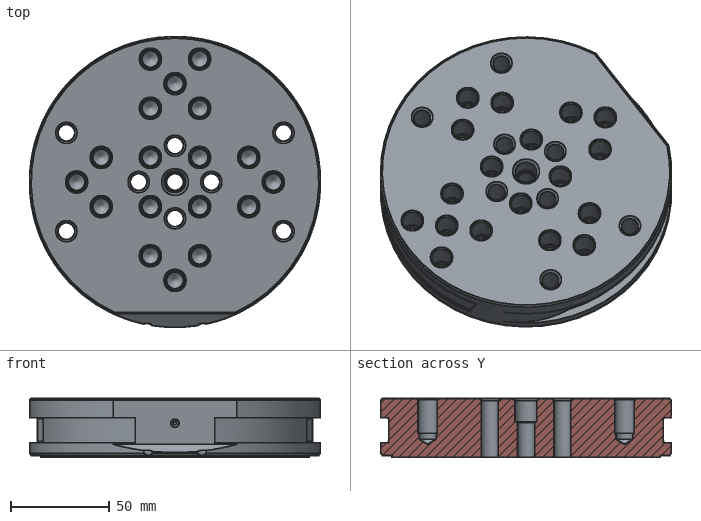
import cadquery as cq
import math

DISC_RADIUS = 74.0
HEIGHT = 30.0
TOP_CHAMFER = 0.9
CUT_MARGIN = 1.5
BASE_RADIUS = 68.4
BASE_HEIGHT = 0.9
RIM_CHAMFER_TOP = 2.2
RIM_CHAMFER_WIDTH = 0.9

FLAT_Y = -67.0
LEDGE_TOP = 6.7
LEDGE_RIM_Z = 2.5
RIM_NOTCH_DIAMETER = 8.6
RIM_NOTCH_X = 14.4
RIM_NOTCH_Y = -76.2

GROOVE_RADIUS = 70.0
GROOVE_BOTTOM = 7.5
GROOVE_TOP = 20.1
RAMP_START_ANGLE = 18.3
RAMP_END_ANGLE = 45.0
RAMP_RADIUS = 50.3

POCKET_X = 66.9
POCKET_BOTTOM = 8.3
POCKET_TOP = 19.7
CREST_X = GROOVE_RADIUS
CREST_HALF_WIDTH = 10.0
CREST_TIP_HALF_WIDTH = 2.4

PANEL_RADIUS = 73.1
PANEL_BOTTOM = 8.9
PANEL_TOP = 22.3
PANEL_BOTTOM_HALF_WIDTH = 37.6
PANEL_TOP_HALF_WIDTH = 40.8

OUTER_HOLE_SPAN = 100.0
PITCH = OUTER_HOLE_SPAN / 8
BLIND_DIAMETER = 9.8
BLIND_MOUTH_DIAMETER = 11.2
BLIND_DEPTH = 17.8
BLIND_CORE_DIAMETER = 8.5
BLIND_CORE_DEPTH = 20.7
DRILL_TIP_ANGLE = 118.0
THROUGH_DIAMETER = 8.5
THROUGH_MOUTH_DIAMETER = 10.8
INNER_THROUGH_OFFSET = 18.5
OUTER_THROUGH_X = 55.2

CENTRE_MOUTH_DIAMETER = 13.6
CENTRE_BORE_DIAMETER = 11.0
CENTRE_BORE_DEPTH = 11.8
CENTRE_STEP_DIAMETER = 9.8

SET_HOLE_Z = 17.5
SET_HOLE_DIAMETER = 4.1
SET_HOLE_TIP_DIAMETER = 1.8
SET_HOLE_DEPTH = 2.0


def revolve_profile(points):
    """Solid of revolution about Z from (radius, z) points."""
    return cq.Workplane("XZ").polyline(points).close().revolve(360, (0, 0), (0, 1))


def disc():
    return revolve_profile([
        (0, 0),
        (BASE_RADIUS, 0),
        (BASE_RADIUS, BASE_HEIGHT),
        (DISC_RADIUS - RIM_CHAMFER_WIDTH, BASE_HEIGHT),
        (DISC_RADIUS, RIM_CHAMFER_TOP),
        (DISC_RADIUS, HEIGHT - TOP_CHAMFER),
        (DISC_RADIUS - TOP_CHAMFER, HEIGHT),
        (0, HEIGHT),
    ])


def front_cut():
    """Everything in front of the flat and above the sloped ledge, with the top edge chamfer."""
    slope = (LEDGE_TOP - LEDGE_RIM_Z) / (FLAT_Y + DISC_RADIUS)
    outer_y = -DISC_RADIUS - CUT_MARGIN
    profile = [
        (outer_y, LEDGE_RIM_Z - slope * CUT_MARGIN),
        (FLAT_Y, LEDGE_TOP),
        (FLAT_Y, HEIGHT - TOP_CHAMFER),
        (FLAT_Y + TOP_CHAMFER, HEIGHT),
        (outer_y, HEIGHT),
    ]
    return cq.Workplane("YZ").polyline(profile).close().extrude(DISC_RADIUS, both=True)


def rim_notches():
    return (
        cq.Workplane("XY")
        .pushPoints([(-RIM_NOTCH_X, RIM_NOTCH_Y), (RIM_NOTCH_X, RIM_NOTCH_Y)])
        .circle(RIM_NOTCH_DIAMETER / 2)
        .extrude(LEDGE_TOP)
    )


def ring(inner_radius, bottom, top):
    return (
        cq.Workplane("XY", origin=(0, 0, bottom))
        .circle(DISC_RADIUS + CUT_MARGIN)
        .circle(inner_radius)
        .extrude(top - bottom)
    )


def polar(radius, degrees):
    angle = math.radians(degrees)
    return radius * math.cos(angle), radius * math.sin(angle)


def side_groove():
    """Groove on the +X side, with an arc from its floor out to the rim."""
    ramp_start = polar(GROOVE_RADIUS, RAMP_START_ANGLE)
    ramp_end = polar(DISC_RADIUS, RAMP_END_ANGLE)
    outer_x = DISC_RADIUS + CUT_MARGIN
    return (
        cq.Workplane("XY", origin=(0, 0, GROOVE_BOTTOM))
        .moveTo(0, -GROOVE_RADIUS)
        .threePointArc((GROOVE_RADIUS, 0), ramp_start)
        .radiusArc(ramp_end, -RAMP_RADIUS)
        .lineTo(outer_x, ramp_end[1])
        .lineTo(outer_x, -outer_x)
        .lineTo(0, -outer_x)
        .close()
        .extrude(GROOVE_TOP - GROOVE_BOTTOM)
    )


def detent_pocket():
    """Pocket on the +X side: a flat floor with a crest made of three tangent arcs."""
    rise = CREST_X - POCKET_X
    lean = 2 * math.atan(rise / CREST_HALF_WIDTH)
    tip_radius = CREST_TIP_HALF_WIDTH / math.sin(lean)
    foot_radius = CREST_HALF_WIDTH / math.sin(lean) - tip_radius

    def foot_point(angle):
        y = CREST_HALF_WIDTH - foot_radius * math.sin(angle)
        return POCKET_X + foot_radius * (1 - math.cos(angle)), y

    foot_mid = foot_point(lean / 2)
    foot_end = foot_point(lean)
    outer_x = DISC_RADIUS + CUT_MARGIN
    half_span = math.sqrt(DISC_RADIUS**2 - POCKET_X**2)
    return (
        cq.Workplane("XY", origin=(0, 0, POCKET_BOTTOM))
        .moveTo(outer_x, half_span)
        .lineTo(POCKET_X, half_span)
        .lineTo(POCKET_X, CREST_HALF_WIDTH)
        .threePointArc(foot_mid, foot_end)
        .threePointArc((CREST_X, 0), (foot_end[0], -foot_end[1]))
        .threePointArc((foot_mid[0], -foot_mid[1]), (POCKET_X, -CREST_HALF_WIDTH))
        .lineTo(POCKET_X, -half_span)
        .lineTo(outer_x, -half_span)
        .close()
        .extrude(POCKET_TOP - POCKET_BOTTOM)
    )


def rear_panel():
    outline = [
        (-PANEL_BOTTOM_HALF_WIDTH, PANEL_BOTTOM),
        (PANEL_BOTTOM_HALF_WIDTH, PANEL_BOTTOM),
        (PANEL_TOP_HALF_WIDTH, PANEL_TOP),
        (-PANEL_TOP_HALF_WIDTH, PANEL_TOP),
    ]
    window = cq.Workplane("XZ").polyline(outline).close().extrude(-2 * DISC_RADIUS)
    return ring(PANEL_RADIUS, PANEL_BOTTOM, PANEL_TOP).intersect(window)


def blind_hole():
    """Countersunk blind hole that steps down to a narrower core with a drill-point bottom."""
    radius = BLIND_DIAMETER / 2
    mouth = BLIND_MOUTH_DIAMETER / 2
    core = BLIND_CORE_DIAMETER / 2
    core_floor = HEIGHT - BLIND_CORE_DEPTH
    tip = core_floor - core / math.tan(math.radians(DRILL_TIP_ANGLE / 2))
    return revolve_profile([
        (0, tip),
        (core, core_floor),
        (core, HEIGHT - BLIND_DEPTH),
        (radius, HEIGHT - BLIND_DEPTH),
        (radius, HEIGHT - (mouth - radius)),
        (mouth, HEIGHT),
        (0, HEIGHT),
    ])


def through_hole():
    radius = THROUGH_DIAMETER / 2
    mouth = THROUGH_MOUTH_DIAMETER / 2
    return revolve_profile([
        (0, 0),
        (radius, 0),
        (radius, HEIGHT - (mouth - radius)),
        (mouth, HEIGHT),
        (0, HEIGHT),
    ])


def centre_hole():
    """Chamfered bore that steps down to a chamfered through hole."""
    radius = THROUGH_DIAMETER / 2
    step = CENTRE_STEP_DIAMETER / 2
    bore = CENTRE_BORE_DIAMETER / 2
    mouth = CENTRE_MOUTH_DIAMETER / 2
    shelf = HEIGHT - CENTRE_BORE_DEPTH
    return revolve_profile([
        (0, 0),
        (radius, 0),
        (radius, shelf - (step - radius)),
        (step, shelf),
        (bore, shelf),
        (bore, HEIGHT - (mouth - bore)),
        (mouth, HEIGHT),
        (0, HEIGHT),
    ])


def set_hole():
    radius = SET_HOLE_DIAMETER / 2
    tip = SET_HOLE_TIP_DIAMETER / 2
    hole = revolve_profile([
        (0, 0),
        (radius, 0),
        (tip, SET_HOLE_DEPTH),
        (0, SET_HOLE_DEPTH),
    ])
    return hole.rotate((0, 0, 0), (1, 0, 0), -90).translate((0, FLAT_Y, SET_HOLE_Z))


def mirror_images(x, y):
    """The point and its mirror images about both axes, without repeats."""
    return sorted({(sx * x, sy * y) for sx in (-1, 1) for sy in (-1, 1)})


blind_points = [(-PITCH, 5 * PITCH), (PITCH, 5 * PITCH)]
for column, row in [(1, 1), (1, 3), (3, 1), (4, 0), (0, 4)]:
    blind_points += mirror_images(column * PITCH, row * PITCH)

through_points = (
    mirror_images(INNER_THROUGH_OFFSET, 0)
    + mirror_images(0, INNER_THROUGH_OFFSET)
    + mirror_images(OUTER_THROUGH_X, 2 * PITCH)
)

result = disc().cut(front_cut()).cut(rim_notches()).cut(rear_panel())

for side_cut in (side_groove(), detent_pocket()):
    result = result.cut(side_cut).cut(side_cut.mirror("YZ"))

for x, y in blind_points:
    result = result.cut(blind_hole().translate((x, y, 0)))
for x, y in through_points:
    result = result.cut(through_hole().translate((x, y, 0)))
result = result.cut(centre_hole()).cut(set_hole())